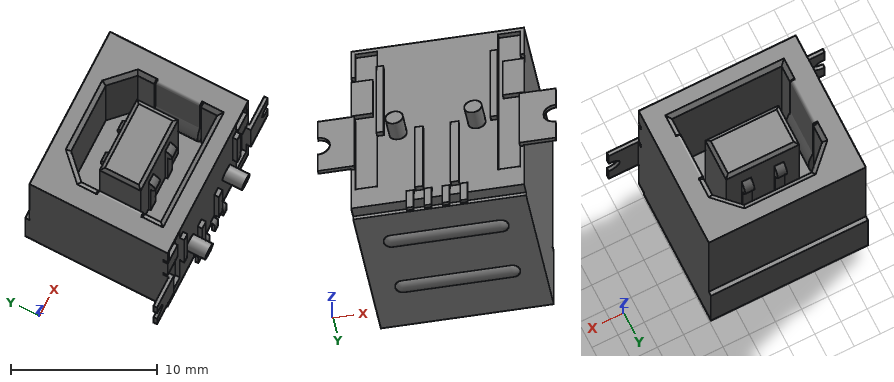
import cadquery as cq
import math


height = 17.1
body_width = 12.0
upper_back = 10.6
lower_back = 10.93
ledge_z = 6.3
body_bottom = 0.8
step_z = 1.11
step_depth = 0.75
half_body = body_width / 2

rim_half_width = 4.53
rim_front = 1.11
rim_back = 9.5
rim_corner = 1.81
rim_bevel = 0.35
rim_bevel_depth = 0.35
socket_half_width = rim_half_width - rim_bevel
socket_floor = ledge_z

tongue_half_width = 2.79
tongue_front = 3.73
tongue_back = 6.87
tongue_top = height - 0.53
tongue_bevel = 0.27
tongue_bevel_depth = 0.27

contact_x = 1.25
contact_width = 0.72
contact_lift = 0.17
contact_bow = 0.36
contact_bow_length = 1.71
contact_setback = 2.4
contact_top = tongue_top - contact_setback

slot_front = 2.68
slot_back = 6.28
spring_gap = 0.1
spring_round = 0.22
spring_bow = 0.35
spring_bow_length = 4.1
spring_bow_top = socket_floor + spring_bow_length

standoff = 0.35
pocket_depth = 0.35
pocket_outer = 5.73
pocket_inner = 4.19
pocket_top = 16.75
pocket_bottom = 3.0
side_opening_top = 14.42
tab_top = 13.95
tab_bottom = 10.52
tab_inner = 4.51
foot_top = 10.05
foot_bottom = 5.03
foot_span = 16.5
foot_tip = foot_span / 2
foot_thickness = 0.27
foot_notch_radius = 0.84

rib_end = 8.1
side_rib_inner = 3.71
side_rib_top = 14.83
center_rib_inner = 0.95
center_rib_outer = 1.52
center_rib_bottom = 2.0
pin_x = 2.74
pin_z = 8.09
pin_diameter = 1.21
pin_length = 1.49

lead_count = 4
lead_pitch = 1.25
lead_width = 0.48
lead_thickness = 0.24
lead_bend_radius = 0.51
lead_bend_z = 1.52

ridge_positions = (3.2, 7.42)
ridge_half_length = 3.8
ridge_radius = 0.77
ridge_height = 0.22


def box(x0, x1, y0, y1, z0, z1):
    """Box between opposite corner coordinates."""
    return cq.Workplane("XY").box(x1 - x0, y1 - y0, z1 - z0, centered=False).translate((x0, y0, z0))


def both_sides(shape):
    """The shape together with its mirror image across X = 0."""
    return shape.union(shape.mirror("YZ"))


def make_housing():
    outline = [
        (0, height), (upper_back, height), (upper_back, ledge_z), (lower_back, ledge_z),
        (lower_back, body_bottom), (step_depth, body_bottom), (step_depth, step_z), (0, step_z),
    ]
    return cq.Workplane("YZ").polyline(outline).close().extrude(half_body, both=True)


def make_opening(inset):
    """Outline of the socket at the top face, moved inward by the inset."""
    half_width = rim_half_width - inset
    front = rim_front + inset
    back = rim_back - inset
    corner = rim_corner - inset * (2 - math.sqrt(2))
    outline = [
        (-half_width, front), (half_width, front), (half_width, back - corner),
        (half_width - corner, back), (corner - half_width, back), (-half_width, back - corner),
    ]
    return cq.Workplane("XY").workplane(offset=height).polyline(outline).close()


def make_socket():
    bevel_angle = math.degrees(math.atan2(rim_bevel, rim_bevel_depth))
    bevel = make_opening(0).extrude(-rim_bevel_depth, taper=bevel_angle)
    return make_opening(rim_bevel).extrude(socket_floor - height).union(bevel)


def make_tongue():
    block = box(-tongue_half_width, tongue_half_width, tongue_front, tongue_back, socket_floor, tongue_top)
    return block.faces(">Z").chamfer(tongue_bevel_depth, tongue_bevel)


def make_contact(x, face, outward):
    """Contact strip with a sloped top and a bow; outward is +1 toward the rear, -1 toward the board side."""
    bow_top = contact_top - contact_lift
    strip = face + outward * contact_lift
    crest = strip + outward * contact_bow
    return (
        cq.Workplane("YZ", origin=(x, 0, 0))
        .moveTo(face, socket_floor)
        .lineTo(strip, socket_floor)
        .lineTo(strip, bow_top - contact_bow_length)
        .threePointArc((crest, bow_top - contact_bow_length / 2), (strip, bow_top))
        .lineTo(face, contact_top)
        .close()
        .extrude(contact_width / 2, both=True)
    )


def make_spring_slot():
    return box(socket_half_width, rim_half_width, slot_front, slot_back, socket_floor, height)


def make_shell_spring():
    """Wall spring with a rounded top edge and a bow into the socket above the floor."""
    round_center_x = socket_half_width + spring_round
    round_center_z = height - spring_round
    diagonal = spring_round * math.sqrt(0.5)
    bow_z = (spring_bow_top + socket_floor) / 2
    return (
        cq.Workplane("XZ", origin=(0, slot_front + spring_gap, 0))
        .moveTo(rim_half_width, socket_floor)
        .lineTo(rim_half_width, height)
        .lineTo(round_center_x, height)
        .threePointArc(
            (round_center_x - diagonal, round_center_z + diagonal), (socket_half_width, round_center_z)
        )
        .lineTo(socket_half_width, spring_bow_top)
        .threePointArc((socket_half_width - spring_bow, bow_z), (socket_half_width, socket_floor))
        .close()
        .extrude(-(slot_back - slot_front - 2 * spring_gap))
    )


def make_pocket():
    """Board-side pocket, open to the side wall from the upper notch to the foot."""
    pocket = box(pocket_inner, pocket_outer, 0, pocket_depth, pocket_bottom, pocket_top)
    return pocket.union(box(pocket_outer, half_body, 0, pocket_depth, foot_top, side_opening_top))


def make_foot():
    """Angled solder foot with a half-round notch in its tip, and the flush tab above it."""
    leg = box(pocket_outer, half_body, -standoff, pocket_depth, foot_bottom, foot_top)
    plate = box(pocket_outer, foot_tip, -standoff, foot_thickness - standoff, foot_bottom, foot_top)
    notch = (
        cq.Workplane("XZ", origin=(foot_tip, 0, (foot_top + foot_bottom) / 2))
        .circle(foot_notch_radius)
        .extrude(standoff)
    )
    tab = box(tab_inner, half_body, 0, pocket_depth, tab_bottom, tab_top)
    return leg.union(plate.cut(notch)).union(tab)


def make_ribs():
    side_rib = box(side_rib_inner, pocket_inner, -standoff, pocket_depth, rib_end, side_rib_top)
    center_rib = box(center_rib_inner, center_rib_outer, -standoff, 0, center_rib_bottom, rib_end)
    return side_rib.union(center_rib)


def make_pin():
    return cq.Workplane("XZ", origin=(pin_x, 0, pin_z)).circle(pin_diameter / 2).extrude(pin_length)


def make_lead(x):
    """Lead that leaves the housing in a quarter bend and runs straight down."""
    bend_y = lead_bend_radius - standoff
    inner_radius = lead_bend_radius - lead_thickness
    diagonal = math.sqrt(0.5)
    return (
        cq.Workplane("YZ", origin=(x, 0, 0))
        .moveTo(-standoff, 0)
        .lineTo(-standoff, lead_bend_z)
        .threePointArc(
            (bend_y - lead_bend_radius * diagonal, lead_bend_z + lead_bend_radius * diagonal),
            (bend_y, lead_bend_z + lead_bend_radius),
        )
        .lineTo(bend_y, lead_bend_z + inner_radius)
        .threePointArc(
            (bend_y - inner_radius * diagonal, lead_bend_z + inner_radius * diagonal),
            (bend_y - inner_radius, lead_bend_z),
        )
        .lineTo(bend_y - inner_radius, 0)
        .close()
        .extrude(lead_width / 2, both=True)
    )


def make_ridge(y):
    """Round bar with ball ends, sunk so that only a shallow ridge shows below the housing."""
    center_z = body_bottom + ridge_radius - ridge_height
    section = cq.Workplane("YZ", origin=(0, y, center_z)).circle(ridge_radius)
    bar = section.extrude(ridge_half_length, both=True)
    ball = cq.Workplane("XY", origin=(ridge_half_length, y, center_z)).sphere(ridge_radius)
    return bar.union(both_sides(ball))


result = make_housing().cut(make_socket()).cut(both_sides(make_spring_slot()))
result = result.union(both_sides(make_shell_spring())).union(make_tongue())
for contact_center in (-contact_x, contact_x):
    result = result.union(make_contact(contact_center, tongue_back, 1))
    result = result.union(make_contact(contact_center, tongue_front, -1))

result = result.cut(both_sides(make_pocket())).union(both_sides(make_foot()))
result = result.union(both_sides(make_ribs())).union(both_sides(make_pin()))
for lead in range(lead_count):
    result = result.union(make_lead((lead - (lead_count - 1) / 2) * lead_pitch))
for ridge_y in ridge_positions:
    result = result.union(make_ridge(ridge_y))